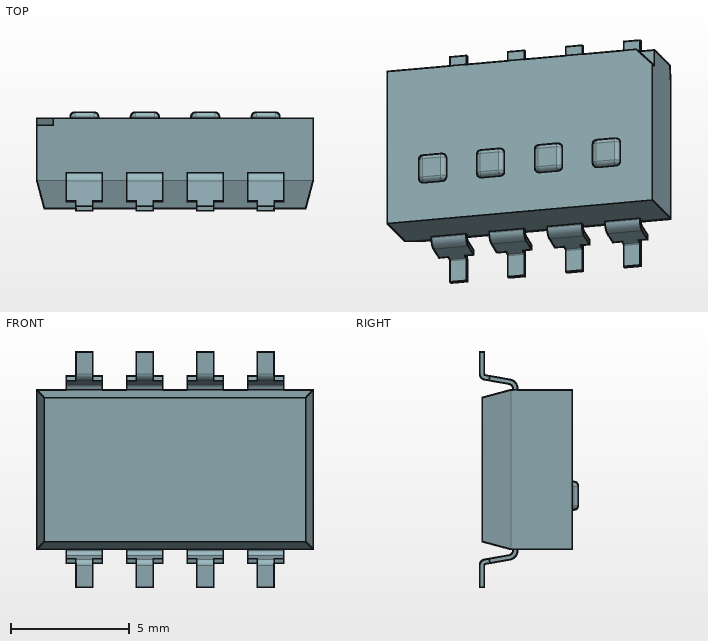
import cadquery as cq
import math

BODY_LENGTH = 11.63
BODY_HEIGHT = 6.7
STRAIGHT_DEPTH = 2.6
TAPER_DEPTH = 1.2
TAPER_ANGLE = 15.0
BODY_DEPTH = STRAIGHT_DEPTH + TAPER_DEPTH

CORNER_CUT = 0.7
CORNER_CUT_DEPTH = 0.3

POSITIONS = 4
PITCH = 2.54
BUTTON_SIZE = 1.2
BUTTON_HEIGHT = 0.25
BUTTON_RADIUS = 0.2
BUTTON_Z = -1.1

LEAD_THICKNESS = 0.2
OVERALL_HEIGHT = 9.9
LEAD_TIP_Z = OVERALL_HEIGHT / 2
LEAD_STANDOFF = 0.1
LEAD_REACH = 1.6
LEAD_ROOT_DEPTH = 0.3
FOOT_LENGTH = 0.93
FOOT_WIDTH = 0.72
SHOULDER_WIDTH = 1.52
SHOULDER_SETBACK = 0.43
SLOPE_ANGLE = 10.0
FOOT_BEND_INNER = 0.05
FOOT_BEND_OUTER = FOOT_BEND_INNER + LEAD_THICKNESS
ROOT_BEND_INNER = 0.2
ROOT_BEND_OUTER = ROOT_BEND_INNER + LEAD_THICKNESS

LEAD_FRONT_Y = -BODY_DEPTH - LEAD_STANDOFF
FOOT_BEND_CENTER = (LEAD_FRONT_Y + FOOT_BEND_OUTER, LEAD_TIP_Z - FOOT_LENGTH)
ROOT_BEND_Y = LEAD_FRONT_Y + LEAD_REACH - ROOT_BEND_OUTER
BEND_OFFSET_Y = ROOT_BEND_Y - FOOT_BEND_CENTER[0]
BEND_DROP = (
    BEND_OFFSET_Y * math.tan(math.radians(SLOPE_ANGLE))
    + (ROOT_BEND_OUTER + FOOT_BEND_INNER) / math.cos(math.radians(SLOPE_ANGLE))
)
ROOT_BEND_CENTER = (ROOT_BEND_Y, FOOT_BEND_CENTER[1] - BEND_DROP)
WEB_NORMAL_ANGLE = 90.0 - SLOPE_ANGLE


def polar(center, radius, angle):
    """Point at the given radius and angle (degrees from +Y towards +Z)."""
    turn = math.radians(angle)
    return (center[0] + radius * math.cos(turn), center[1] + radius * math.sin(turn))


def make_body():
    straight = cq.Workplane("XZ").rect(BODY_LENGTH, BODY_HEIGHT).extrude(STRAIGHT_DEPTH)
    tapered = (
        cq.Workplane("XZ", origin=(0, -STRAIGHT_DEPTH, 0))
        .rect(BODY_LENGTH, BODY_HEIGHT)
        .extrude(TAPER_DEPTH, taper=TAPER_ANGLE)
    )
    left = -BODY_LENGTH / 2
    top = BODY_HEIGHT / 2
    corner = (
        cq.Workplane("XZ")
        .polyline([(left, top), (left + CORNER_CUT, top), (left, top - CORNER_CUT)])
        .close()
        .extrude(CORNER_CUT_DEPTH)
    )
    return straight.union(tapered).cut(corner)


def make_button(x):
    """Rounded square button on the back face."""
    return (
        cq.Workplane("XZ", origin=(x, 0, BUTTON_Z))
        .rect(BUTTON_SIZE, BUTTON_SIZE)
        .extrude(-BUTTON_HEIGHT)
        .edges("|Y")
        .fillet(BUTTON_RADIUS)
        .faces(">Y")
        .edges()
        .fillet(BUTTON_RADIUS)
    )


def make_strip(width):
    """Upright foot, sloped web and root of a lead, extruded to one width about X = 0."""
    root_z = BODY_HEIGHT / 2 - LEAD_ROOT_DEPTH
    web = WEB_NORMAL_ANGLE
    foot_mid = 180.0 + web / 2
    root_mid = web / 2
    return (
        cq.Workplane("YZ", origin=(-width / 2, 0, 0))
        .moveTo(LEAD_FRONT_Y, LEAD_TIP_Z)
        .lineTo(*polar(FOOT_BEND_CENTER, FOOT_BEND_OUTER, 180))
        .threePointArc(
            polar(FOOT_BEND_CENTER, FOOT_BEND_OUTER, foot_mid),
            polar(FOOT_BEND_CENTER, FOOT_BEND_OUTER, 180 + web),
        )
        .lineTo(*polar(ROOT_BEND_CENTER, ROOT_BEND_INNER, web))
        .threePointArc(
            polar(ROOT_BEND_CENTER, ROOT_BEND_INNER, root_mid),
            polar(ROOT_BEND_CENTER, ROOT_BEND_INNER, 0),
        )
        .lineTo(ROOT_BEND_CENTER[0] + ROOT_BEND_INNER, root_z)
        .lineTo(ROOT_BEND_CENTER[0] + ROOT_BEND_OUTER, root_z)
        .lineTo(*polar(ROOT_BEND_CENTER, ROOT_BEND_OUTER, 0))
        .threePointArc(
            polar(ROOT_BEND_CENTER, ROOT_BEND_OUTER, root_mid),
            polar(ROOT_BEND_CENTER, ROOT_BEND_OUTER, web),
        )
        .lineTo(*polar(FOOT_BEND_CENTER, FOOT_BEND_INNER, 180 + web))
        .threePointArc(
            polar(FOOT_BEND_CENTER, FOOT_BEND_INNER, foot_mid),
            polar(FOOT_BEND_CENTER, FOOT_BEND_INNER, 180),
        )
        .lineTo(LEAD_FRONT_Y + LEAD_THICKNESS, LEAD_TIP_Z)
        .close()
        .extrude(width)
    )


def make_upper_lead():
    """Narrow foot on a wide shoulder that ends square to the sloped web."""
    web_top = polar(FOOT_BEND_CENTER, FOOT_BEND_INNER, 180 + WEB_NORMAL_ANGLE)
    step_y = LEAD_FRONT_Y + SHOULDER_SETBACK
    step_z = web_top[1] - (step_y - web_top[0]) * math.tan(math.radians(SLOPE_ANGLE))
    foot_side = (
        cq.Workplane("XY")
        .box(SHOULDER_WIDTH, LEAD_REACH, 2 * LEAD_REACH, centered=(True, False, True))
        .translate((0, -LEAD_REACH, 0))
        .rotate((0, 0, 0), (1, 0, 0), -SLOPE_ANGLE)
        .translate((0, step_y, step_z))
    )
    shoulder = make_strip(SHOULDER_WIDTH).cut(foot_side)
    return shoulder.union(make_strip(FOOT_WIDTH))


def make_part():
    part = make_body()
    upper_lead = make_upper_lead()
    lower_lead = upper_lead.mirror("XY")
    for index in range(POSITIONS):
        x = (index - (POSITIONS - 1) / 2) * PITCH
        part = part.union(make_button(x))
        part = part.union(upper_lead.translate((x, 0, 0)))
        part = part.union(lower_lead.translate((x, 0, 0)))
    return part


result = make_part()